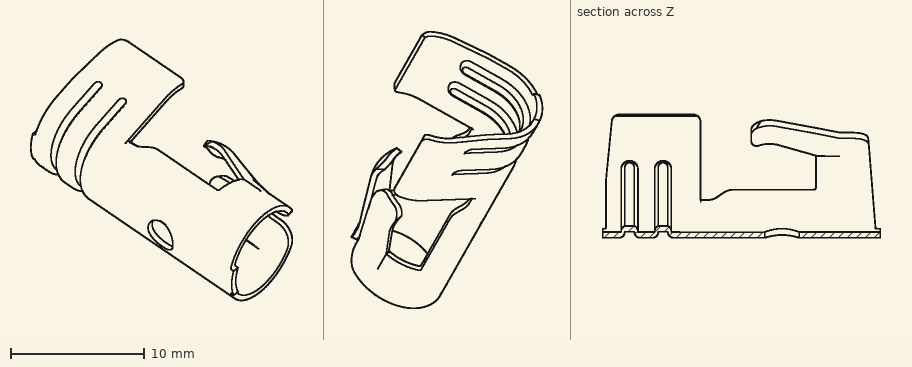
import cadquery as cq
import math

thickness = 0.45
outer_radius = 3.985
inner_radius = outer_radius - thickness
total_length = 20.83
total_width = 11.17
total_height = 9.27
bottom_y = -outer_radius

crimp_start_x = 0.24
crimp_end_x = 7.355
flare_angle = math.radians(20.8)
wall_length = 4.58
rim_corner_radius = 0.6
slant_start_y = bottom_y + 4.29
slant_rim_x = 0.73

bead_centres_x = (2.02, 4.53)
bead_depth = thickness
bead_mouth_half_width = 0.82
bead_floor_half_width = 0.35
ridge_shoulder_width = 0.28
bead_wall_length = 2.59
bead_overlap = 0.1

neck_edge_y = bottom_y + 2.85
neck_end_x = 7.84
barrel_start_x = 9.84
barrel_edge_y = -0.355
barrel_end_bottom_x = 20.53
barrel_end_top_x = 19.89
hole_x = 13.45
hole_radius = 1.29

tab_width = 2.6
tab_root_radius = 0.12

ring_start_x = 15.99
ring_corner_radius = 1.5
slot_corner_radius = 0.15
gap_half_angle = math.radians(9.1)

finger_edge_angle = math.radians(53)
finger_root_x = 17.75
finger_bend_x = 13.05
finger_crest_x = 12.1
finger_tip_x = 11.14
finger_root_tilt = math.radians(8)
finger_middle_angle = (gap_half_angle + finger_edge_angle) / 2
finger_half_width = outer_radius * math.sin((finger_edge_angle - gap_half_angle) / 2)
finger_side_margin = 0.02
finger_bend_lift = 1.03
finger_crest_lift = 1.05
finger_tip_lift = 0.62
finger_corner_radius = 1.0

cut_size = 40.0


def polar(radius, angle, centre=(0.0, 0.0)):
    """A YZ point at an angle from +Y towards +Z."""
    return (centre[0] + radius * math.cos(angle), centre[1] + radius * math.sin(angle))


def flipped(point):
    return (point[0], -point[1])


wall_normal = math.pi / 2 + flare_angle
tangent_y, tangent_z = polar(outer_radius, wall_normal)
wall_end = (
    tangent_y + wall_length * math.cos(flare_angle),
    tangent_z + wall_length * math.sin(flare_angle),
)
curl_radius = (total_width / 2 - wall_end[1]) / (1 - math.cos(flare_angle))
curl_centre = (
    wall_end[0] + curl_radius * math.sin(flare_angle),
    wall_end[1] - curl_radius * math.cos(flare_angle),
)
rim_y = bottom_y + total_height
rim_angle = math.acos((rim_y - curl_centre[0]) / curl_radius)
curl_middle_angle = (wall_normal + rim_angle) / 2


def side_prism(outline):
    """Extrude a closed XY outline through the whole width."""
    return outline.close().extrude(cut_size / 2, both=True)


def tube(start_x, end_x):
    return (
        cq.Workplane("YZ", origin=(start_x, 0, 0))
        .circle(outer_radius)
        .circle(inner_radius)
        .extrude(end_x - start_x)
    )


def sector(start_x, end_x, end_angle):
    """A solid sector on the +Z side, from the split line at +Y to end_angle."""
    return (
        cq.Workplane("YZ", origin=(start_x, 0, 0))
        .lineTo(*polar(cut_size, 0))
        .lineTo(*polar(cut_size, end_angle / 2))
        .lineTo(*polar(cut_size, end_angle))
        .close()
        .extrude(end_x - start_x)
    )


def both_sides(solid):
    return solid.union(solid.mirror("XY"))


def crimp_wall():
    """The +Z wall of the crimp: flared and flat, then curled inwards at the rim."""

    def points(offset):
        return (
            polar(outer_radius - offset, wall_normal),
            polar(curl_radius - offset, wall_normal, curl_centre),
            polar(curl_radius - offset, curl_middle_angle, curl_centre),
            polar(curl_radius - offset, rim_angle, curl_centre),
        )

    tangent, wall, curl, rim = points(0)
    tangent_in, wall_in, curl_in, rim_in = points(thickness)
    sheet = (
        cq.Workplane("YZ", origin=(crimp_start_x, 0, 0))
        .moveTo(*tangent)
        .lineTo(*wall)
        .threePointArc(curl, rim)
        .lineTo(*rim_in)
        .threePointArc(curl_in, wall_in)
        .lineTo(*tangent_in)
        .close()
        .extrude(crimp_end_x - crimp_start_x)
    )
    side = side_prism(
        cq.Workplane("XY")
        .moveTo(crimp_start_x, bottom_y)
        .lineTo(crimp_end_x, bottom_y)
        .lineTo(crimp_end_x, rim_y)
        .lineTo(slant_rim_x, rim_y)
        .lineTo(crimp_start_x, slant_start_y)
    )
    side = side.faces(">Y").edges("|Z").fillet(rim_corner_radius)
    return sheet.intersect(side)


def bead_solid(half_profile):
    """Sweep a section along the outside of the crimp, around x = 0, and round off both ends.

    half_profile draws the +X half of the section on a plane whose x runs along the part's X axis
    and whose y is the depth below the outer surface.
    """
    tangent = (tangent_y, tangent_z)
    end = (
        tangent_y + bead_wall_length * math.cos(flare_angle),
        tangent_z + bead_wall_length * math.sin(flare_angle),
    )
    path = (
        cq.Workplane("YZ")
        .moveTo(*end)
        .lineTo(*tangent)
        .threePointArc((bottom_y, 0), flipped(tangent))
        .lineTo(*flipped(end))
    )
    section_plane = cq.Plane(
        origin=(0, *end),
        xDir=(1, 0, 0),
        normal=(0, math.cos(flare_angle), math.sin(flare_angle)),
    )
    body = half_profile(cq.Workplane(section_plane)).mirrorY().sweep(path)
    nose = half_profile(cq.Workplane(section_plane)).close().revolve(360, (0, 0), (0, 1))
    return body.union(nose).union(nose.mirror("XY"))


def groove_half(plane):
    """Half of the groove: a flat floor and a convex rounded shoulder."""
    width = bead_mouth_half_width - bead_floor_half_width
    middle = (
        bead_mouth_half_width - width * math.sin(math.pi / 4),
        bead_depth * (1 - math.cos(math.pi / 4)),
    )
    return (
        plane.moveTo(0, bead_depth)
        .lineTo(bead_floor_half_width, bead_depth)
        .threePointArc(middle, (bead_mouth_half_width, 0))
        .lineTo(bead_mouth_half_width, -bead_overlap)
        .lineTo(0, -bead_overlap)
    )


def ridge_half(plane):
    """Half of the inner ridge: a flat crest one sheet thickness below the groove floor, with a round shoulder."""
    ridge_half_width = bead_floor_half_width + ridge_shoulder_width
    ridge_depth = bead_depth + thickness
    middle = (
        bead_floor_half_width + ridge_shoulder_width * math.sin(math.pi / 4),
        bead_depth + thickness * math.cos(math.pi / 4),
    )
    return (
        plane.moveTo(0, ridge_depth)
        .lineTo(bead_floor_half_width, ridge_depth)
        .threePointArc(middle, (ridge_half_width, bead_depth))
        .lineTo(ridge_half_width, bead_depth - bead_overlap)
        .lineTo(0, bead_depth - bead_overlap)
    )


def with_beads(body):
    ridge = bead_solid(ridge_half)
    groove = bead_solid(groove_half)
    for x in bead_centres_x:
        body = body.union(ridge.translate((x, 0, 0)))
        body = body.cut(groove.translate((x, 0, 0)))
    return body


def barrel():
    """The round sheet: crimp bottom, open trough and the closed clip ring at the far end."""
    side = side_prism(
        cq.Workplane("XY")
        .moveTo(crimp_start_x, bottom_y)
        .lineTo(crimp_start_x, neck_edge_y)
        .lineTo(neck_end_x, neck_edge_y)
        .spline([(barrel_start_x, barrel_edge_y)], tangents=[(1, 0), (1, 0)], includeCurrent=True)
        .lineTo(ring_start_x, barrel_edge_y)
        .lineTo(ring_start_x, outer_radius)
        .lineTo(barrel_end_top_x, outer_radius)
        .lineTo(barrel_end_bottom_x, bottom_y)
    )
    slot_corner = cq.selectors.NearestToPointSelector((ring_start_x, barrel_edge_y, 0))
    side = side.edges("|Z").edges(slot_corner).fillet(slot_corner_radius)
    tab_strip = cq.Workplane("XY").box(total_length, outer_radius, tab_width)
    tab_strip = tab_strip.translate((total_length / 2, bottom_y, 0))
    body = tube(0, total_length).intersect(side.union(tab_strip))
    for x in (crimp_start_x, barrel_end_bottom_x):
        for z in (-tab_width / 2, tab_width / 2):
            tab_root = cq.selectors.NearestToPointSelector((x, bottom_y + thickness, z))
            body = body.edges(tab_root).fillet(tab_root_radius)
    body = body.cut(both_sides(sector(0, crimp_end_x, wall_normal)))
    body = body.cut(both_sides(sector(ring_start_x, total_length, gap_half_angle)))
    gap_half_width = outer_radius * math.sin(gap_half_angle)
    ring_corners = cq.selectors.BoxSelector(
        (finger_root_x, inner_radius, -gap_half_width),
        (total_length, outer_radius, gap_half_width),
    )
    body = body.edges(ring_corners).fillet(ring_corner_radius)
    body = body.cut(both_sides(sector(ring_start_x, finger_root_x, finger_edge_angle)))
    hole = cq.Workplane("XZ", origin=(hole_x, 0, 0)).circle(hole_radius).extrude(outer_radius)
    return body.cut(hole)


def finger_section(x, tilt=0.0, lift=0.0):
    """The finger's cross-section, tilted about its outer lower corner and lifted off the ring."""
    hinge = polar(outer_radius, finger_edge_angle)
    lift_y, lift_z = polar(lift, finger_middle_angle)

    def place(radius, angle):
        y, z = polar(radius, angle)
        y -= hinge[0]
        z -= hinge[1]
        return (
            hinge[0] + y * math.cos(tilt) - z * math.sin(tilt) + lift_y,
            hinge[1] + y * math.sin(tilt) + z * math.cos(tilt) + lift_z,
        )

    return (
        cq.Workplane("YZ", origin=(x, 0, 0))
        .moveTo(*place(outer_radius, gap_half_angle))
        .threePointArc(place(outer_radius, finger_middle_angle), place(outer_radius, finger_edge_angle))
        .lineTo(*place(inner_radius, finger_edge_angle))
        .threePointArc(place(inner_radius, finger_middle_angle), place(inner_radius, gap_half_angle))
        .close()
        .val()
    )


def finger():
    """The +Z spring finger: a rising root, a straight arm and a tip that curls back down."""
    root = finger_section(finger_root_x)
    arm = finger_section(ring_start_x, tilt=finger_root_tilt)
    bend = finger_section(finger_bend_x, lift=finger_bend_lift)
    crest = finger_section(finger_crest_x, lift=finger_crest_lift)
    tip = finger_section(finger_tip_x, lift=finger_tip_lift)
    straight = cq.Solid.makeLoft([root, arm, bend], True)
    curl = cq.Solid.makeLoft([bend, crest, tip], False)
    return cq.Workplane(straight).union(cq.Workplane(curl).intersect(finger_tip_outline()))


def finger_tip_outline():
    """A prism along the lift direction that rounds the two corners of the finger tip."""
    lift_y, lift_z = polar(1, finger_middle_angle)
    plane = cq.Plane(origin=(finger_tip_x, 0, 0), xDir=(1, 0, 0), normal=(0, lift_y, lift_z))
    width = 2 * (finger_half_width + finger_side_margin)
    length = finger_root_x - finger_tip_x
    prism = cq.Workplane(plane).center(length / 2, 0).rect(length, width).extrude(2 * outer_radius)
    corners = cq.selectors.ParallelDirSelector(plane.zDir)
    return prism.faces("<X").edges(corners).fillet(finger_corner_radius)


sheet = with_beads(barrel().union(both_sides(crimp_wall())))
result = sheet.union(both_sides(finger()))